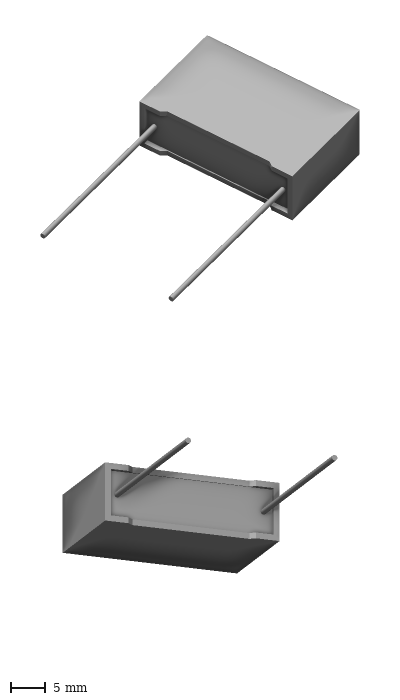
import cadquery as cq

total_length = 44.1
housing_width = 26.8
housing_height = 8.75
housing_depth = 17.1
wall = 0.9
back_round = 0.6

notch_depth = 0.6
notch_mouth_margin = 3.6
notch_ramp = 0.8

filling_recess = 0.8
lead_diameter = 0.85
lead_spacing = 22.5

cavity_width = housing_width - 2 * wall
cavity_height = housing_height - 2 * wall
cavity_end = housing_depth - wall
lead_tip = housing_depth - total_length


def block(width, height, y_start, y_end):
    """Box centred on X and Z that runs from y_start to y_end."""
    return cq.Workplane("XY").box(
        width, y_end - y_start, height, centered=(True, False, True)
    ).translate((0, y_start, 0))


def make_notch():
    """Trapezoid that cuts the rim of both wide walls."""
    mouth = housing_width / 2 - notch_mouth_margin
    floor = mouth - notch_ramp
    return (
        cq.Workplane("XY")
        .polyline([(-mouth, 0), (mouth, 0), (floor, notch_depth), (-floor, notch_depth)])
        .close()
        .extrude(housing_height / 2, both=True)
    )


def make_housing():
    """Open box with a rounded back face and a notched rim."""
    shell = block(housing_width, housing_height, 0, housing_depth)
    shell = shell.faces(">Y").edges().fillet(back_round)
    cavity = block(cavity_width, cavity_height, 0, cavity_end)
    return shell.cut(cavity).cut(make_notch())


def make_filling():
    """Potting block that fills the cavity up to just below the notches."""
    return block(cavity_width, cavity_height, filling_recess, cavity_end)


def make_lead(x):
    """Round wire that stands on the face of the filling."""
    return (
        cq.Workplane("XZ", origin=(x, filling_recess, 0))
        .circle(lead_diameter / 2)
        .extrude(filling_recess - lead_tip)
    )


housing = make_housing()
filling = make_filling()
leads = [make_lead(side * lead_spacing / 2) for side in (-1, 1)]

result = cq.Compound.makeCompound(
    [housing.val(), filling.val(), *[lead.val() for lead in leads]]
)